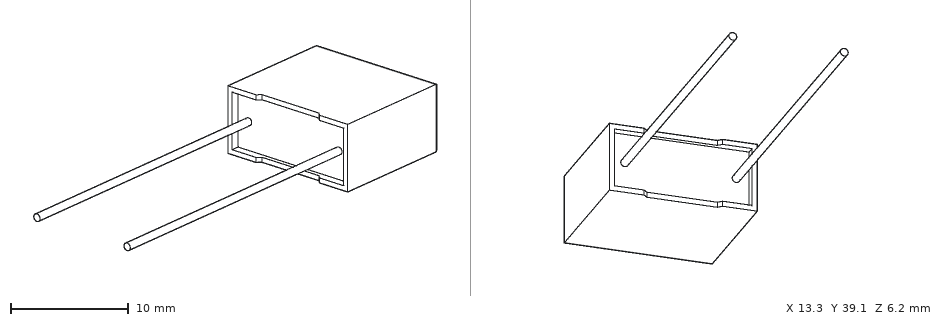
import cadquery as cq

total_length = 39.1
case_width = 13.3
case_length = 12.05
case_height = 6.2
wall = 0.45
back_edge_radius = 0.5

notch_depth = 0.35
notch_mouth_width = 7.05
notch_floor_width = 6.35

fill_recess = 0.8
lead_diameter = 0.7
lead_pitch = 10.0

lead_length = total_length - case_length
cavity_width = case_width - 2 * wall
cavity_height = case_height - 2 * wall
fill_length = case_length - wall - fill_recess
lead_positions = (-lead_pitch / 2, lead_pitch / 2)


def block(width, length, height, front_y):
    """Box centred in X and Z that runs toward +Y from front_y."""
    return cq.Workplane("XY").box(width, length, height, centered=(True, False, True)).translate((0, front_y, 0))


def make_case():
    """Open-fronted box with rounded back edges and a notched rim."""
    shell = block(case_width, case_length, case_height, 0).faces(">Y").edges().fillet(back_edge_radius)
    cavity = block(cavity_width, case_length - wall, cavity_height, 0)
    notch = (
        cq.Workplane("XY")
        .polyline([
            (-notch_mouth_width / 2, 0),
            (-notch_floor_width / 2, notch_depth),
            (notch_floor_width / 2, notch_depth),
            (notch_mouth_width / 2, 0),
        ])
        .close()
        .extrude(case_height / 2, both=True)
    )
    return shell.cut(cavity).cut(notch)


def make_lead(x):
    """Straight round wire along Y, starting on the front face of the fill."""
    return (
        cq.Workplane("XZ", origin=(x, fill_recess, 0))
        .circle(lead_diameter / 2)
        .extrude(fill_recess + lead_length)
    )


case = make_case()
fill = block(cavity_width, fill_length, cavity_height, fill_recess)
leads = [make_lead(x) for x in lead_positions]

result = cq.Compound.makeCompound([case.val(), fill.val(), *[lead.val() for lead in leads]])